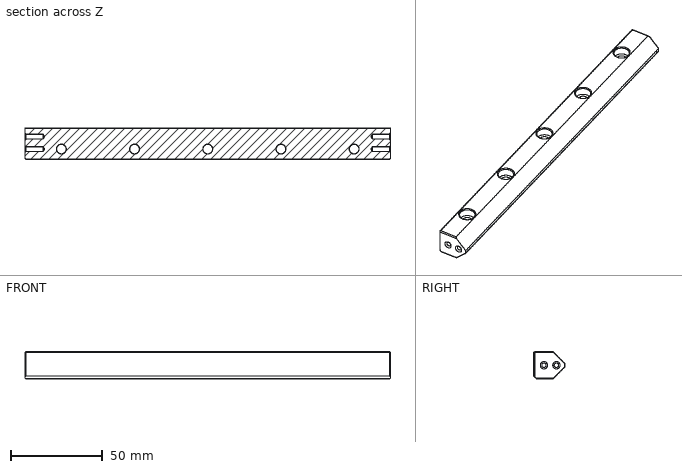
import cadquery as cq
import math

length = 200.0
width = 17.0
height = 15.0

nose_flat = 2.0
nose_depth = (height - nose_flat) / 2
lower_back_chamfer = 1.5
edge_chamfer = 0.5

hole_count = 5
hole_pitch = length / hole_count
hole_diameter = 5.2
counterbore_diameter = 8.5
counterbore_depth = 4.5
counterbore_mouth_chamfer = 0.5
hole_inset = 5.5

end_hole_diameter = 2.5
end_hole_mouth_diameter = 4.0
end_hole_depth = 10.0
end_hole_point_angle = 118.0
end_hole_insets = (hole_inset, 12.5)

back = -width / 2
nose = width / 2
top = height / 2
bottom = -height / 2
shoulder = nose - nose_depth


def rail_body():
    """Pointed bar with chamfered back edges and chamfered ends."""
    body = (
        cq.Workplane("YZ")
        .polyline([
            (back + lower_back_chamfer, bottom),
            (shoulder, bottom),
            (nose, -nose_flat / 2),
            (nose, nose_flat / 2),
            (shoulder, top),
            (back + edge_chamfer, top),
            (back, top - edge_chamfer),
            (back, bottom + lower_back_chamfer),
        ])
        .close()
        .extrude(length / 2, both=True)
    )
    for end in (-1, 1):
        body = body.cut(end_edge_wedges(end))
    return body


def end_edge_wedges(end):
    """Wedges that bevel the top, bottom and back edges of one end (-1 or 1)."""
    tip = end * length / 2
    inner = tip - end * edge_chamfer
    wedges = (
        cq.Workplane("XY")
        .polyline([(inner, back), (tip, back), (tip, back + edge_chamfer)])
        .close()
        .extrude(height, both=True)
    )
    for face in (-1, 1):
        surface = face * height / 2
        wedge = (
            cq.Workplane("XZ")
            .polyline([(inner, surface), (tip, surface), (tip, surface - face * edge_chamfer)])
            .close()
            .extrude(width, both=True)
        )
        wedges = wedges.union(wedge)
    return wedges


def mounting_hole(x):
    """Through hole with a counterbore opening on the top face."""
    half_section = [
        (0, bottom),
        (hole_diameter / 2, bottom),
        (hole_diameter / 2, top - counterbore_depth),
        (counterbore_diameter / 2, top - counterbore_depth),
        (counterbore_diameter / 2, top - counterbore_mouth_chamfer),
        (counterbore_diameter / 2 + counterbore_mouth_chamfer, top),
        (0, top),
    ]
    return (
        cq.Workplane("XZ")
        .polyline(half_section)
        .close()
        .revolve(360, (0, 0, 0), (0, 1, 0))
        .translate((x, back + hole_inset, 0))
    )


def end_hole(end, inset):
    """Blind countersunk hole running inward from one end (-1 or 1)."""
    tip = end * length / 2
    radius = end_hole_diameter / 2
    mouth_radius = end_hole_mouth_diameter / 2
    mouth_depth = mouth_radius - radius
    end_hole_point = radius / math.tan(math.radians(end_hole_point_angle / 2))
    half_section = [
        (tip, 0),
        (tip, mouth_radius),
        (tip - end * mouth_depth, radius),
        (tip - end * end_hole_depth, radius),
        (tip - end * (end_hole_depth + end_hole_point), 0),
    ]
    return (
        cq.Workplane("XY")
        .polyline(half_section)
        .close()
        .revolve(360, (0, 0, 0), (1, 0, 0))
        .translate((0, back + inset, 0))
    )


result = rail_body()
for index in range(hole_count):
    result = result.cut(mounting_hole((index - (hole_count - 1) / 2) * hole_pitch))
for end in (-1, 1):
    for inset in end_hole_insets:
        result = result.cut(end_hole(end, inset))